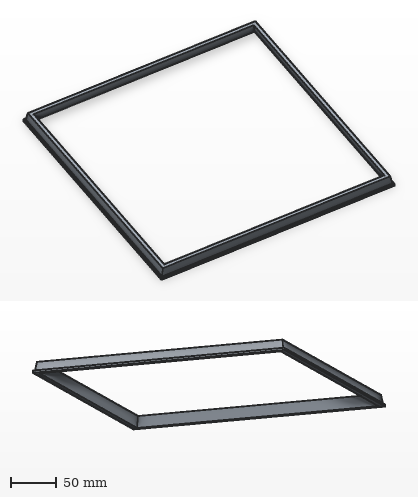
import cadquery as cq
import math

outer_side = 301.0
total_height = 13.0

flange_thickness = 2.7
ledge_width = 1.5
rim_top_width = 4.8
wall_lean_degrees = 10.0

wall_slope = math.tan(math.radians(wall_lean_degrees))
flange_top_inset = wall_slope * flange_thickness
rim_foot_inset = flange_top_inset + ledge_width
rim_top_inset = wall_slope * total_height + ledge_width
opening_top_inset = rim_top_inset + rim_top_width
opening_bottom_inset = opening_top_inset - wall_slope * total_height


def leaning_block(bottom_inset, top_inset, bottom_z, top_z):
    """Square block whose four walls run straight from one inset to another."""
    bottom_side = outer_side - 2 * bottom_inset
    top_side = outer_side - 2 * top_inset
    return (
        cq.Workplane("XY")
        .workplane(offset=bottom_z)
        .rect(bottom_side, bottom_side)
        .workplane(offset=top_z - bottom_z)
        .rect(top_side, top_side)
        .loft(ruled=True)
    )


flange = leaning_block(0, flange_top_inset, 0, flange_thickness)
rim = leaning_block(rim_foot_inset, rim_top_inset, flange_thickness, total_height)
opening = leaning_block(opening_bottom_inset, opening_top_inset, 0, total_height)

result = flange.union(rim).cut(opening)